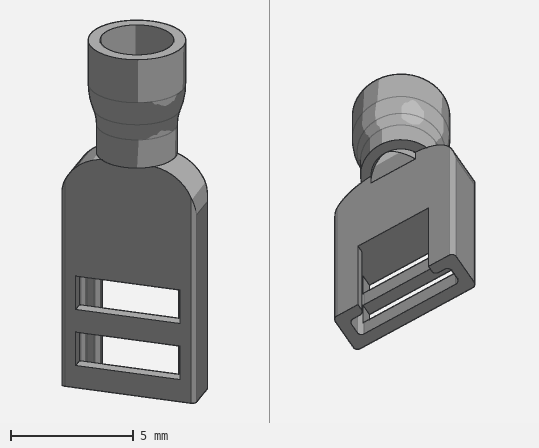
import cadquery as cq

total_height = 15.4

plate_width = 5.8
plate_height = 10.4
plate_front = -1.19
plate_back = 0.62
shoulder_radius = 2.0
edge_radius = 0.2

front_wall = 0.51
lip_thickness = 0.46
cavity_width = 4.8
back_opening_width = 3.39
cavity_height = 5.0
cavity_radius = 0.2

window_width = 4.5
window_height = 1.5
window_bottoms = (1.0, cavity_height - window_height)

mouth_radius = 2.0
neck_radius = 1.66
bore_radius = 1.51
neck_top = 11.66
curve_middle = 12.4
mouth_bottom = 13.48
bore_bottom = curve_middle

support_reach = 1.23
support_depth = 0.6
support_curve_radius = 0.82
support_curve_y = 0.45
support_curve_z = 10.61


def box_on_y(width, y_start, y_end, z_start, z_end):
    """Box centred on X between the given Y and Z limits."""
    box = cq.Workplane("XY").box(width, y_end - y_start, z_end - z_start, centered=(True, False, False))
    return box.translate((0, y_start, z_start))


def make_plate():
    """Plate with rounded shoulders and softened long edges."""
    column = box_on_y(plate_width, plate_front, plate_back, 0, plate_height).edges("|Z").fillet(edge_radius)
    outline = box_on_y(plate_width, plate_front, plate_back, 0, plate_height)
    outline = outline.edges("|Y and >Z").fillet(shoulder_radius)
    return column.intersect(outline)


def make_cavity():
    """Rounded channel joined to a narrower back slot with rounded inner lip edges."""
    cavity_front = plate_front + front_wall
    lip_front = plate_back - lip_thickness
    channel = box_on_y(cavity_width, cavity_front, lip_front, 0, cavity_height)
    channel = channel.edges("|Z").fillet(cavity_radius)
    slot = box_on_y(back_opening_width, lip_front, plate_back, 0, cavity_height)
    margin = 0.02
    inner_edges = cq.selectors.BoxSelector(
        (-back_opening_width / 2 - margin, lip_front - margin, -margin),
        (back_opening_width / 2 + margin, lip_front + margin, cavity_height + margin),
    )
    return channel.union(slot).edges("|Z").edges(inner_edges).fillet(cavity_radius)


def make_windows():
    """Two rectangular openings through the front wall into the cavity."""
    window_back = plate_front + front_wall + cavity_radius / 2
    windows = cq.Workplane("XY")
    for bottom in window_bottoms:
        window = box_on_y(window_width, plate_front, window_back, bottom, bottom + window_height)
        windows = windows.add(window)
    return windows.combine()


def make_tube():
    """Turned tube: a neck flaring through an S-curve to a wide mouth."""
    rise = (curve_middle - neck_top) / (mouth_bottom - neck_top)
    middle_radius = neck_radius + rise * (mouth_radius - neck_radius)
    return (
        cq.Workplane("XZ")
        .moveTo(0, plate_height)
        .lineTo(neck_radius, plate_height)
        .lineTo(neck_radius, neck_top)
        .tangentArcPoint((middle_radius, curve_middle), relative=False)
        .tangentArcPoint((mouth_radius, mouth_bottom), relative=False)
        .lineTo(mouth_radius, total_height)
        .lineTo(bore_radius, total_height)
        .lineTo(bore_radius, bore_bottom)
        .lineTo(0, bore_bottom)
        .close()
        .revolve(360, (0, 0, 0), (0, 1, 0))
    )


def make_support():
    """Round bar along X, trimmed to an upright cylinder behind the plate and below the neck."""
    support_bottom = plate_height - support_depth
    upright = cq.Workplane("XY", origin=(0, 0, support_bottom)).circle(support_reach).extrude(support_depth)
    bar = (
        cq.Workplane("YZ")
        .center(support_curve_y, support_curve_z)
        .circle(support_curve_radius)
        .extrude(support_reach, both=True)
    )
    space = box_on_y(2 * support_reach, plate_back, support_reach, support_bottom, plate_height)
    return upright.intersect(bar).intersect(space)


plate = make_plate().cut(make_cavity()).cut(make_windows())
result = plate.union(make_tube()).union(make_support())